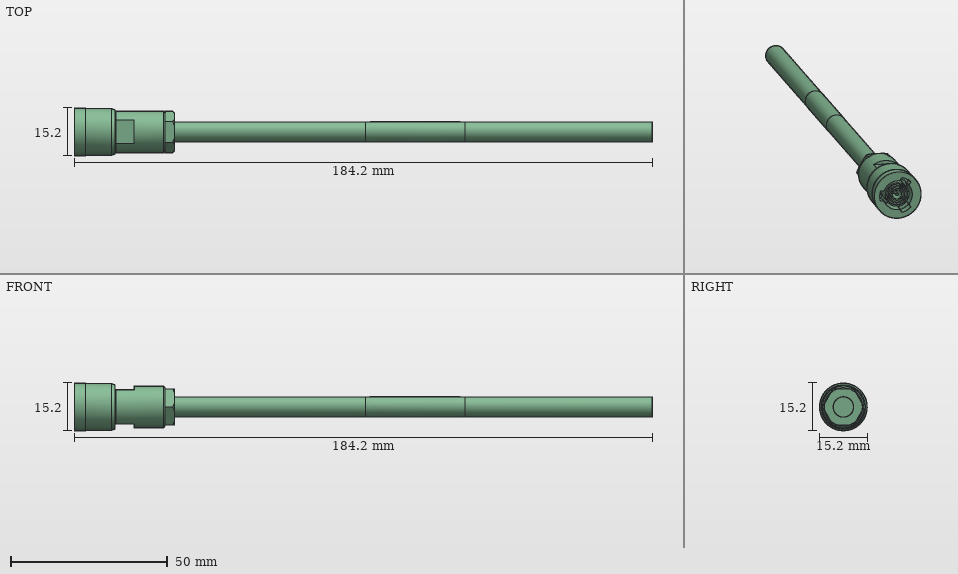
import cadquery as cq
import math

TOTAL_LENGTH = 184.15

NUT_RADIUS = 7.62
NUT_LENGTH = 12.95
NUT_REAR_CHAMFER_LENGTH = 1.2
NUT_REAR_CHAMFER_DEPTH = 0.5
NUT_BAND_START = 3.6
NUT_BAND_RELIEF = 0.1
NUT_BORE_RADIUS = 4.75
NUT_NOTCH_DEPTH = 3.6
NUT_NOTCH_RADIUS = 5.9
NUT_NOTCH_WIDTH = 3.3
NUT_NOTCH_ANGLES = (0, 120, 240)

BODY_RADIUS = 6.65
BODY_START = 13.2
BODY_END = 28.9
BODY_REAR_CHAMFER = 0.5
BODY_FLAT_HALF_HEIGHT = 5.5
BODY_FLAT_END = 19.0
NECK_RADIUS = 5.4

CONTACT_FRONT = 1.0
CONTACT_FLOOR = 8.0
PIN_RADIUS = 0.4
CONTACT_INNER_RADII = (1.5, 2.45, 3.4)
CONTACT_WALL = 0.45

CLAMP_ACROSS_FLATS = 11.5
CLAMP_LENGTH = 3.0
CLAMP_CHAMFER = 0.6
CLAMP_END = BODY_END + CLAMP_LENGTH

CABLE_RADIUS = 3.22
CABLE_START = BODY_END
SLEEVE_LENGTH = 31.75
SLEEVE_THICKNESS = 0.05
SLEEVE_TAPER = 1.9
SLEEVE_START = 92.7


def turned(profile):
    """Revolve a closed (x, radius) outline about the X axis."""
    return cq.Workplane("XZ").polyline(profile).close().revolve(360, (0, 0, 0), (1, 0, 0))


def cylinder(start, end, radius):
    return cq.Workplane("YZ", origin=(start, 0, 0)).circle(radius).extrude(end - start)


def make_notch():
    """One key slot running out from the axis along +Y, open at the mating face."""
    slot = (
        cq.Workplane("YZ")
        .center(NUT_NOTCH_RADIUS / 2, 0)
        .rect(NUT_NOTCH_RADIUS, NUT_NOTCH_WIDTH)
        .extrude(NUT_NOTCH_DEPTH)
    )
    return slot.intersect(cylinder(0, NUT_NOTCH_DEPTH, NUT_NOTCH_RADIUS))


def make_coupling_nut():
    band_radius = NUT_RADIUS - NUT_BAND_RELIEF
    nut = turned([
        (0, NUT_BORE_RADIUS),
        (0, NUT_RADIUS),
        (NUT_BAND_START, NUT_RADIUS),
        (NUT_BAND_START, band_radius),
        (NUT_LENGTH - NUT_REAR_CHAMFER_LENGTH, band_radius),
        (NUT_LENGTH, band_radius - NUT_REAR_CHAMFER_DEPTH),
        (NUT_LENGTH, NUT_BORE_RADIUS),
    ])
    notch = make_notch()
    for angle in NUT_NOTCH_ANGLES:
        nut = nut.cut(notch.rotate((0, 0, 0), (1, 0, 0), angle))
    return nut


def add_contacts(body):
    """Raise the centre pin and the concentric contact rings from the contact floor."""
    body = body.union(cylinder(CONTACT_FRONT, CONTACT_FLOOR, PIN_RADIUS))
    for inner_radius in CONTACT_INNER_RADII:
        outside = cylinder(CONTACT_FRONT, CONTACT_FLOOR, inner_radius + CONTACT_WALL)
        body = body.union(outside.cut(cylinder(CONTACT_FRONT, CONTACT_FLOOR, inner_radius)))
    return body


def cut_wrench_flats(body):
    """Cut the two wrench flats, above and below the axis."""
    flat_length = BODY_FLAT_END - BODY_START
    for side in (1, -1):
        waste = cq.Workplane("XY").box(flat_length, 2 * BODY_RADIUS, BODY_RADIUS)
        middle_height = BODY_FLAT_HALF_HEIGHT + BODY_RADIUS / 2
        body = body.cut(waste.translate((BODY_START + flat_length / 2, 0, side * middle_height)))
    return body


def make_body():
    body = turned([
        (CONTACT_FLOOR, 0),
        (CONTACT_FLOOR, NUT_BORE_RADIUS),
        (NUT_LENGTH, NUT_BORE_RADIUS),
        (NUT_LENGTH, NECK_RADIUS),
        (BODY_START, NECK_RADIUS),
        (BODY_START, BODY_RADIUS),
        (BODY_END - BODY_REAR_CHAMFER, BODY_RADIUS),
        (BODY_END, BODY_RADIUS - BODY_REAR_CHAMFER),
        (BODY_END, 0),
    ])
    return cut_wrench_flats(add_contacts(body))


def make_clamp_nut():
    corner_radius = CLAMP_ACROSS_FLATS / math.sqrt(3)
    rear_of_body = cq.Workplane("YZ", origin=(BODY_END, 0, 0))
    hexagon = rear_of_body.polygon(6, 2 * corner_radius).extrude(CLAMP_LENGTH)
    envelope = cylinder(BODY_END, CLAMP_END, corner_radius).faces(">X").chamfer(CLAMP_CHAMFER)
    return hexagon.intersect(envelope).cut(cylinder(BODY_END, CLAMP_END, CABLE_RADIUS))


def make_cable():
    return turned([
        (CABLE_START, 0),
        (CABLE_START, CABLE_RADIUS),
        (TOTAL_LENGTH, CABLE_RADIUS),
        (TOTAL_LENGTH, 0),
    ])


def make_sleeve():
    end = SLEEVE_START + SLEEVE_LENGTH
    outer = CABLE_RADIUS + SLEEVE_THICKNESS
    return turned([
        (SLEEVE_START, CABLE_RADIUS),
        (SLEEVE_START + SLEEVE_TAPER, outer),
        (end - SLEEVE_TAPER, outer),
        (end, CABLE_RADIUS),
    ])


coupling_nut = make_coupling_nut()
body = make_body()
clamp_nut = make_clamp_nut()
cable = make_cable()
sleeve = make_sleeve()

result = cq.Compound.makeCompound([
    coupling_nut.val(), body.val(), clamp_nut.val(), cable.val(), sleeve.val(),
])